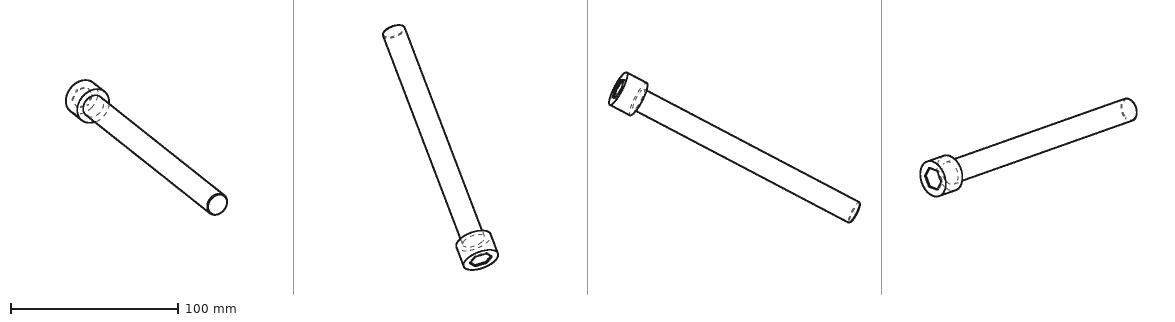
import cadquery as cq
import math

total_length = 164.0
head_diameter = 22.0
shank_diameter = 14.0
head_length = shank_diameter
socket_across_flats = 12.1
socket_depth = 1.0
tip_chamfer = 0.5

head_start = -total_length / 2
shank_length = total_length - head_length


def make_head():
    face = cq.Workplane("YZ", origin=(head_start, 0, 0))
    return face.circle(head_diameter / 2).extrude(head_length)


def make_shank():
    face = cq.Workplane("YZ", origin=(head_start + head_length, 0, 0))
    shank = face.circle(shank_diameter / 2).extrude(shank_length)
    return shank.faces(">X").edges().chamfer(tip_chamfer)


def make_socket():
    across_corners = socket_across_flats / math.cos(math.pi / 6)
    face = cq.Workplane("YZ", origin=(head_start, 0, 0))
    return face.polygon(6, across_corners).extrude(socket_depth)


result = make_head().union(make_shank()).cut(make_socket())